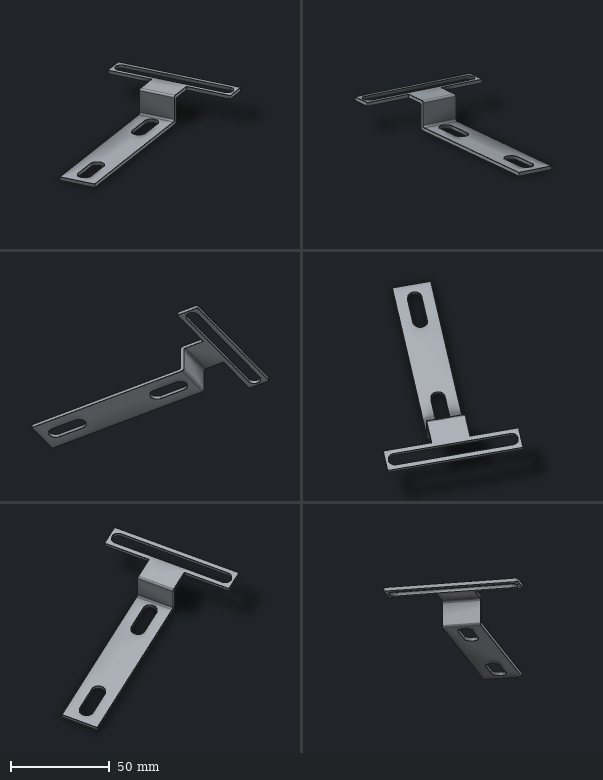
import cadquery as cq

total_length = 113.5
total_height = 16.0
thickness = 2.0
bend_radius = 1.0

bar_length = 70.0
bar_width = 11.9
bar_corner_radius = 0.6
leg_width = 20.0
web_back_offset = 23.3

bar_slot_length = 66.7
bar_slot_width = 6.6
leg_slot_length = 21.0
leg_slot_width = 7.3
rear_slot_offset = 27.8
front_slot_offset = 4.7

web_back = total_length - web_back_offset
web_front = web_back - thickness
bar_underside = total_height - thickness
bar_center_y = total_length - bar_width / 2
rear_slot_y = total_length - rear_slot_offset - leg_slot_length / 2
front_slot_y = front_slot_offset + leg_slot_length / 2


def make_bent_strip():
    """Z-bent strip: low leg, upright web and high tab, with rounded bends."""
    profile = [
        (0, 0),
        (web_back, 0),
        (web_back, bar_underside),
        (total_length - bar_width / 2, bar_underside),
        (total_length - bar_width / 2, total_height),
        (web_front, total_height),
        (web_front, thickness),
        (0, thickness),
    ]
    strip = cq.Workplane("YZ").polyline(profile).close().extrude(leg_width / 2, both=True)
    web_middle = (web_front + web_back) / 2
    bend_zone = cq.selectors.BoxSelector(
        (-leg_width, web_middle - thickness, -thickness),
        (leg_width, web_middle + thickness, total_height + thickness),
    )
    return strip.edges(bend_zone).edges("|X").fillet(bend_radius)


def make_crossbar():
    """Flat bar with slightly rounded corners."""
    return (
        cq.Workplane("XY", origin=(0, bar_center_y, bar_underside))
        .rect(bar_length, bar_width)
        .extrude(thickness)
        .edges("|Z")
        .fillet(bar_corner_radius)
    )


def slot_cutter(center_y, base_z, length, width, angle):
    """Round-ended cutter through one sheet thickness."""
    return (
        cq.Workplane("XY", origin=(0, center_y, base_z))
        .slot2D(length, width, angle)
        .extrude(thickness)
    )


result = make_bent_strip().union(make_crossbar())
result = result.cut(slot_cutter(bar_center_y, bar_underside, bar_slot_length, bar_slot_width, 0))
for slot_y in (rear_slot_y, front_slot_y):
    result = result.cut(slot_cutter(slot_y, 0, leg_slot_length, leg_slot_width, 90))